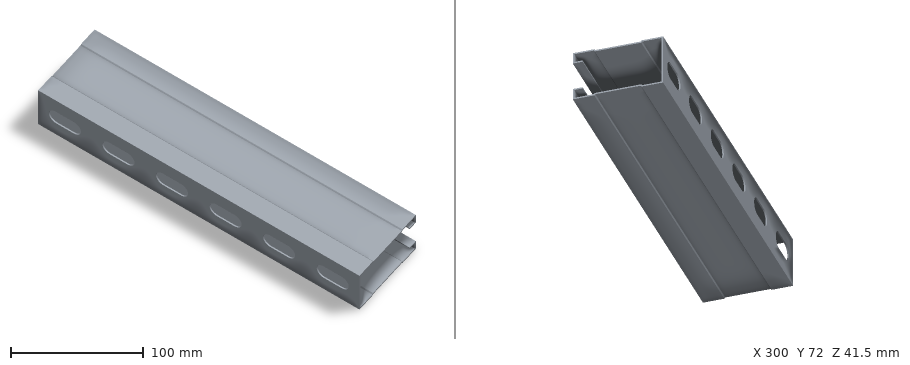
import cadquery as cq
import math

LENGTH = 300.0
WIDTH = 72.0
HEIGHT = 41.5
WALL = 1.2

LIP_HEIGHT = 9.3
LIP_LENGTH = 7.8

RECESS_WIDTH = 36.0
RECESS_DEPTH = 1.0
STEP_RUN = 1.0

SLOT_COUNT = 6
SLOT_PITCH = LENGTH / SLOT_COUNT
SLOT_LENGTH = 30.0
SLOT_WIDTH = 14.0


def channel():
    """Constant-thickness channel, symmetric about the XY plane."""
    side = WIDTH / 2
    top = HEIGHT / 2
    floor_edge = RECESS_WIDTH / 2
    rim_edge = floor_edge + STEP_RUN
    slope_angle = math.atan2(RECESS_DEPTH, STEP_RUN)
    corner_shift = WALL * math.tan(slope_angle / 2)
    inner_floor_edge = floor_edge + corner_shift
    inner_rim_edge = rim_edge + corner_shift
    lip_bottom = top - LIP_HEIGHT
    lip_end = side - LIP_LENGTH

    outside = [
        (-side, top),
        (-rim_edge, top),
        (-floor_edge, top - RECESS_DEPTH),
        (floor_edge, top - RECESS_DEPTH),
        (rim_edge, top),
        (side, top),
        (side, lip_bottom),
        (lip_end, lip_bottom),
    ]
    inside = [
        (lip_end, lip_bottom + WALL),
        (side - WALL, lip_bottom + WALL),
        (side - WALL, top - WALL),
        (inner_rim_edge, top - WALL),
        (inner_floor_edge, top - RECESS_DEPTH - WALL),
        (-inner_floor_edge, top - RECESS_DEPTH - WALL),
        (-inner_rim_edge, top - WALL),
        (WALL - side, top - WALL),
    ]
    upper_half = outside + inside
    lower_half = [(y, -z) for y, z in reversed(upper_half)]
    section = cq.Workplane("YZ").polyline(upper_half + lower_half).close()
    return section.extrude(LENGTH / 2, both=True)


def web_slots():
    """Cutters for the round-ended slots, passing through the web only."""
    return (
        cq.Workplane("XZ", origin=(0, -WIDTH / 2 + 2 * WALL, 0))
        .rarray(SLOT_PITCH, 3, SLOT_COUNT, 1)
        .slot2D(SLOT_LENGTH, SLOT_WIDTH)
        .extrude(3 * WALL)
    )


result = channel().cut(web_slots())